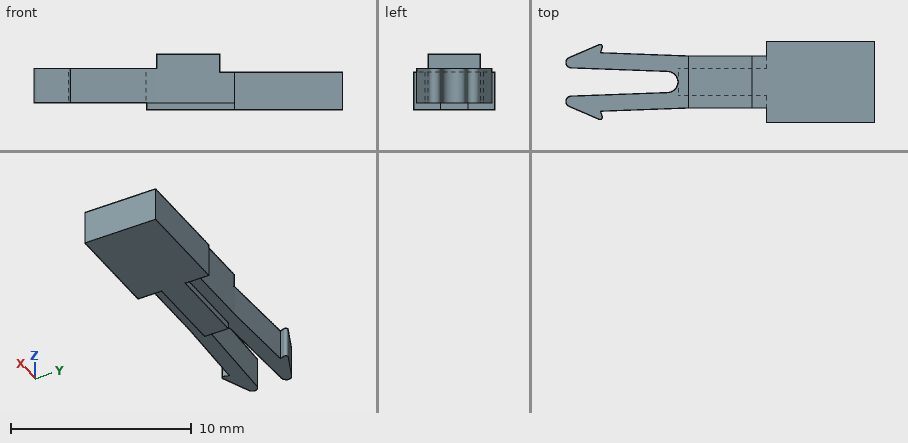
import cadquery as cq
import math


total_length = 17.1
head_length = 6.0
head_width = 4.5
head_height = 2.1
head_start = total_length - head_length

body_width = 2.9
body_bottom = 0.4
fork_height = 1.9
fork_top = body_bottom + fork_height
fork_end = 6.7
rail_start = 6.25
rail_width = 1.5

block_start = 6.8
block_length = 3.5
block_top = 3.1

spread_angle = 2.1
slot_end = 6.2
slot_end_radius = 0.58
barb_root_x = 1.93
barb_angle = 23.3
barb_back_angle = 17.0
barb_base_y = 1.28
barb_radius = 0.13

spread_slope = math.tan(math.radians(spread_angle))
barb_slope = math.tan(math.radians(barb_angle))
barb_back_slope = math.tan(math.radians(barb_back_angle))


def box(start, end, width, bottom, top):
    """Box between two X and two Z positions, centred across Y."""
    size = (end - start, width, top - bottom)
    solid = cq.Workplane("XY").box(*size, centered=(False, True, False))
    return solid.translate((start, 0, bottom))


def make_arm():
    """Arm on the +Y side, joined at its root to half of the slot end."""
    slot_center_x = slot_end - slot_end_radius
    flank_angle = math.radians(spread_angle)
    flank_x = slot_center_x + slot_end_radius * math.sin(flank_angle)
    flank_y = slot_end_radius * math.cos(flank_angle)
    inner_tip_y = flank_y + flank_x * spread_slope

    half_width = body_width / 2
    barb_root_y = half_width + (fork_end - barb_root_x) * spread_slope

    ramp_y_at_root = barb_base_y + barb_root_x * barb_slope
    barb_rise = (ramp_y_at_root - barb_root_y) / (1 - barb_slope * barb_back_slope)
    barb_point = (barb_root_x + barb_rise * barb_back_slope, barb_root_y + barb_rise)

    ramp_angle = math.radians(barb_angle)
    flank_reach = 1 / math.cos(flank_angle) - spread_slope
    ramp_reach = 1 / math.cos(ramp_angle) - barb_slope
    tip_radius = (barb_base_y - inner_tip_y) / (flank_reach + ramp_reach)
    tip_y = inner_tip_y + tip_radius * flank_reach
    tip_flank_x = tip_radius * (1 - math.sin(flank_angle))
    tip_flank_y = tip_y - tip_radius * math.cos(flank_angle)
    tip_ramp_x = tip_radius * (1 - math.sin(ramp_angle))
    tip_ramp_y = tip_y + tip_radius * math.cos(ramp_angle)

    arm = (
        cq.Workplane("XY", origin=(0, 0, body_bottom))
        .moveTo(tip_flank_x, tip_flank_y)
        .threePointArc((0, tip_y), (tip_ramp_x, tip_ramp_y))
        .lineTo(*barb_point)
        .lineTo(barb_root_x, barb_root_y)
        .lineTo(fork_end, half_width)
        .lineTo(fork_end, 0)
        .lineTo(slot_end, 0)
        .radiusArc((flank_x, flank_y), -slot_end_radius)
        .close()
        .extrude(fork_height)
    )
    return arm.edges("|Z").edges(">Y").fillet(barb_radius)


def make_fork():
    """Both arms, mirrored about the plane of symmetry."""
    arm = make_arm()
    return arm.union(arm.mirror("XZ"))


head = box(head_start, total_length, head_width, 0, head_height)
neck = box(fork_end, head_start, body_width, body_bottom, head_height)
neck_front = box(fork_end, block_start, body_width, body_bottom, fork_top)
block = box(block_start, block_start + block_length, body_width, body_bottom, block_top)
rail = box(rail_start, head_start, rail_width, 0, body_bottom)

result = head.union(neck).union(neck_front).union(block).union(rail).union(make_fork()).clean()